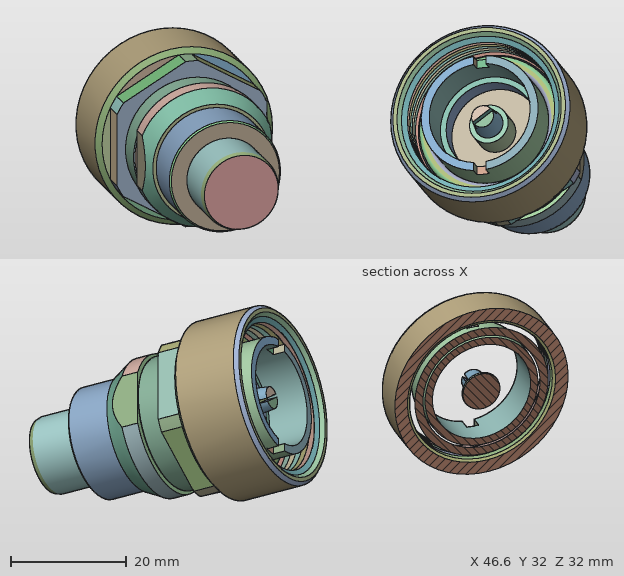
import cadquery as cq
import math

LENGTH = 46.6

NUT_DIAMETER = 32.0
NUT_RADIUS = NUT_DIAMETER / 2
NUT_FRONT_CHAMFER_LENGTH = 0.75
NUT_FRONT_CHAMFER_HEIGHT = 0.6
NUT_REAR_CHAMFER_START = 12.2
HEX_START = 13.0
HEX_END = 17.1
HEX_ACROSS_FLATS = 27.0
HEX_CORNER_RADIUS = 14.95
COLLAR_RADIUS = 11.98
COLLAR_END = 22.1
COLLAR_CHAMFER = 0.2

MOUTH_RADIUS = 14.7
MOUTH_CHAMFER_LENGTH = 0.75
THREAD_ROOT_RADIUS = 14.05
THREAD_CREST_RADIUS = 13.15
THREAD_PITCH = 1.05
THREAD_COUNT = 6
NUT_BORE_RADIUS = 12.9
NUT_SHOULDER = HEX_START

TUBE_FRONT = 0.33
TUBE_RADIUS = 10.45
GASKET_FRONT = 6.75
GASKET_RADIUS = 12.65
GASKET_FILLET = 0.75
NECK_RADIUS = 11.05
FLANGE_FRONT = 22.3
FLANGE_CONE_START = 25.45
FLANGE_END = 28.95
FLANGE_DIAMETER = 25.02
FLANGE_RADIUS = FLANGE_DIAMETER / 2
FLANGE_CONE_END_RADIUS = 10.62
FLANGE_ACROSS_FLATS = 22.97
BARREL_RADIUS = 10.0
BARREL_END = 37.1
BARREL_CHAMFER = 0.3
TAIL_RADIUS = 6.95
TAIL_CHAMFER_LENGTH = 0.9
TAIL_CHAMFER_HEIGHT = 0.3

TUBE_BORE_RADIUS = 9.0
TUBE_BORE_END = 7.85
INNER_BORE_RADIUS = 7.95
INNER_BORE_END = 11.65
KEY_SLOT_WIDTH = 2.2
KEY_SLOT_DEPTH = 2.25

CONTACT_FRONT = 2.25
CONTACT_RADIUS = 2.5
CONTACT_TIP_RADIUS = 1.95
CONTACT_SLOT_WIDTH = 0.55
CONTACT_SLOT_DEPTH = 1.95
CONTACT_SLOT_ANGLE = 35.0
CONTACT_COLLAR_RADIUS = 3.45
CONTACT_COLLAR_FRONT = 6.52


def revolve_about_x(points):
    """Turn a closed (x, radius) outline about the X axis."""
    return cq.Workplane("XY").polyline(points).close().revolve(360, (0, 0, 0), (1, 0, 0))


def x_cylinder(radius, start, end):
    return cq.Workplane("YZ", origin=(start, 0, 0)).circle(radius).extrude(end - start)


def make_hex():
    """Wrench hexagon with flats facing +Y and -Y and turned corners."""
    corner_diameter = HEX_ACROSS_FLATS / math.cos(math.pi / 6)
    length = HEX_END - HEX_START
    prism = (
        cq.Workplane("YZ", origin=(HEX_START, 0, 0))
        .transformed(rotate=(0, 0, 30))
        .polygon(6, corner_diameter)
        .extrude(length)
    )
    return prism.intersect(x_cylinder(HEX_CORNER_RADIUS, HEX_START, HEX_END))


def make_nut_cavity():
    """Chamfered mouth, V-shaped ring threads, then a plain bore to the shoulder."""
    outline = [(0, 0), (0, MOUTH_RADIUS)]
    for i in range(THREAD_COUNT):
        root = MOUTH_CHAMFER_LENGTH + i * THREAD_PITCH
        outline.append((root, THREAD_ROOT_RADIUS))
        outline.append((root + THREAD_PITCH / 2, THREAD_CREST_RADIUS))
    last_root = MOUTH_CHAMFER_LENGTH + THREAD_COUNT * THREAD_PITCH
    outline += [
        (last_root, THREAD_ROOT_RADIUS),
        (last_root + THREAD_PITCH / 2, NUT_BORE_RADIUS),
        (NUT_SHOULDER, NUT_BORE_RADIUS),
        (NUT_SHOULDER, 0),
    ]
    return revolve_about_x(outline)


def make_nut():
    shell = revolve_about_x([
        (0, 0),
        (0, NUT_RADIUS - NUT_FRONT_CHAMFER_HEIGHT),
        (NUT_FRONT_CHAMFER_LENGTH, NUT_RADIUS),
        (NUT_REAR_CHAMFER_START, NUT_RADIUS),
        (HEX_START, HEX_CORNER_RADIUS),
        (HEX_START, COLLAR_RADIUS),
        (COLLAR_END - COLLAR_CHAMFER, COLLAR_RADIUS),
        (COLLAR_END, COLLAR_RADIUS - COLLAR_CHAMFER),
        (COLLAR_END, 0),
    ])
    neck_hole = x_cylinder(NECK_RADIUS, 0, COLLAR_END)
    return shell.union(make_hex()).cut(make_nut_cavity()).cut(neck_hole)


def make_body_blank():
    """Outside of the body: tube, neck, flange, barrel and tail."""
    return revolve_about_x([
        (TUBE_FRONT, 0),
        (TUBE_FRONT, TUBE_RADIUS),
        (NUT_SHOULDER, TUBE_RADIUS),
        (NUT_SHOULDER, NECK_RADIUS),
        (FLANGE_FRONT, NECK_RADIUS),
        (FLANGE_FRONT, FLANGE_RADIUS),
        (FLANGE_CONE_START, FLANGE_RADIUS),
        (FLANGE_END, FLANGE_CONE_END_RADIUS),
        (FLANGE_END, BARREL_RADIUS),
        (BARREL_END - BARREL_CHAMFER, BARREL_RADIUS),
        (BARREL_END, BARREL_RADIUS - BARREL_CHAMFER),
        (BARREL_END, TAIL_RADIUS),
        (LENGTH - TAIL_CHAMFER_LENGTH, TAIL_RADIUS),
        (LENGTH, TAIL_RADIUS - TAIL_CHAMFER_HEIGHT),
        (LENGTH, 0),
    ])


def make_gasket_ring():
    """Shoulder around the tube, rounded at the front, that holds the nut by its inner shoulder."""
    ring = x_cylinder(GASKET_RADIUS, GASKET_FRONT, NUT_SHOULDER)
    ring = ring.cut(x_cylinder(TUBE_RADIUS, GASKET_FRONT, NUT_SHOULDER))
    return ring.faces("<X").edges().fillet(GASKET_FILLET)


def cut_flange_flats(body):
    length = FLANGE_END - FLANGE_FRONT
    for side in (-1, 1):
        cutter = cq.Workplane("XY").box(length, FLANGE_DIAMETER, FLANGE_DIAMETER).translate(
            (FLANGE_FRONT + length / 2, side * (FLANGE_ACROSS_FLATS + FLANGE_DIAMETER) / 2, 0)
        )
        body = body.cut(cutter)
    return body


def make_contact():
    """Slotted pin that widens steadily toward the collar it stands on."""
    pin = revolve_about_x([
        (CONTACT_FRONT, 0),
        (CONTACT_FRONT, CONTACT_TIP_RADIUS),
        (CONTACT_COLLAR_FRONT, CONTACT_RADIUS),
        (CONTACT_COLLAR_FRONT, CONTACT_COLLAR_RADIUS),
        (INNER_BORE_END, CONTACT_COLLAR_RADIUS),
        (INNER_BORE_END, 0),
    ])
    slot = (
        cq.Workplane("XY")
        .box(CONTACT_SLOT_DEPTH, 2 * CONTACT_RADIUS, CONTACT_SLOT_WIDTH)
        .translate((CONTACT_FRONT + CONTACT_SLOT_DEPTH / 2, 0, 0))
        .rotate((0, 0, 0), (1, 0, 0), -CONTACT_SLOT_ANGLE)
    )
    return pin.cut(slot)


def make_body():
    body = cut_flange_flats(make_body_blank()).union(make_gasket_ring())
    body = body.cut(x_cylinder(TUBE_BORE_RADIUS, TUBE_FRONT, TUBE_BORE_END))
    body = body.cut(x_cylinder(INNER_BORE_RADIUS, TUBE_FRONT, INNER_BORE_END))
    key_slot = cq.Workplane("XY").box(KEY_SLOT_DEPTH, KEY_SLOT_WIDTH, 2 * TUBE_RADIUS).translate(
        (TUBE_FRONT + KEY_SLOT_DEPTH / 2, 0, 0)
    )
    return body.cut(key_slot).union(make_contact())


nut = make_nut()
body = make_body()

result = cq.Compound.makeCompound([nut.solids().val(), body.solids().val()])